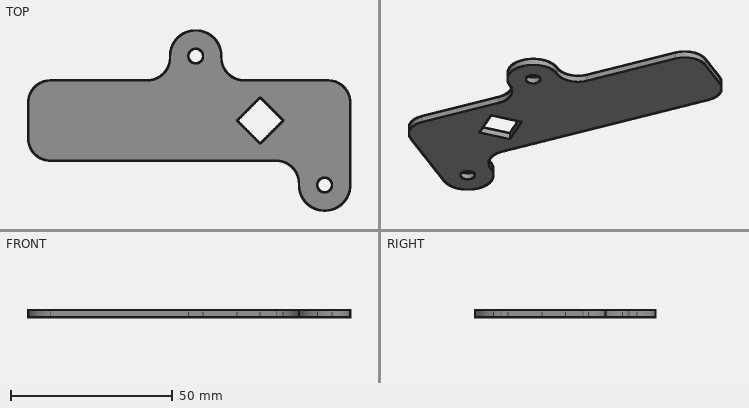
import cadquery as cq

thickness = 2.3
plate_length = 100.0
arm_width = 25.0
corner_radius = 7.0

lug_radius = 8.0
lug_offset = 20.0
lug_hole_diameter = 4.5

square_side = 10.1
square_turn = 45.0

arm_half = arm_width / 2
right_x = lug_offset + lug_radius
left_x = right_x - plate_length
upper_lug = (-lug_offset, lug_offset)
lower_lug = (lug_offset, -lug_offset)


def box_between(x_min, x_max, y_min, y_max):
    """Full-thickness block spanning the given limits."""
    return (
        cq.Workplane("XY")
        .center((x_min + x_max) / 2, (y_min + y_max) / 2)
        .rect(x_max - x_min, y_max - y_min)
        .extrude(thickness)
    )


def make_lug(center):
    """Round-ended tab reaching from the middle of the arm to the lug centre."""
    x, y = center
    stem = box_between(x - lug_radius, x + lug_radius, min(0, y), max(0, y))
    tip = cq.Workplane("XY").center(x, y).circle(lug_radius).extrude(thickness)
    return stem.union(tip)


def make_outline():
    """Arm with both lugs; arm corners and lug roots share one radius."""
    arm = box_between(left_x, right_x, -arm_half, arm_half)
    body = arm.union(make_lug(upper_lug)).union(make_lug(lower_lug)).clean()

    rounded_points = [
        (left_x, arm_half),
        (left_x, -arm_half),
        (right_x, arm_half),
        (upper_lug[0] - lug_radius, arm_half),
        (upper_lug[0] + lug_radius, arm_half),
        (lower_lug[0] - lug_radius, -arm_half),
    ]
    edges = cq.Workplane("XY")
    for x, y in rounded_points:
        edges = edges.add(body.edges(cq.NearestToPointSelector((x, y, thickness / 2))))
    return body.newObject(edges.vals()).fillet(corner_radius)


def make_cutters():
    """Through tools for the square hole and the two lug holes."""
    square = (
        cq.Workplane("XY")
        .rect(square_side, square_side)
        .extrude(thickness)
        .rotate((0, 0, 0), (0, 0, 1), square_turn)
    )
    lug_holes = (
        cq.Workplane("XY")
        .pushPoints([upper_lug, lower_lug])
        .circle(lug_hole_diameter / 2)
        .extrude(thickness)
    )
    return square.union(lug_holes)


result = make_outline().cut(make_cutters())